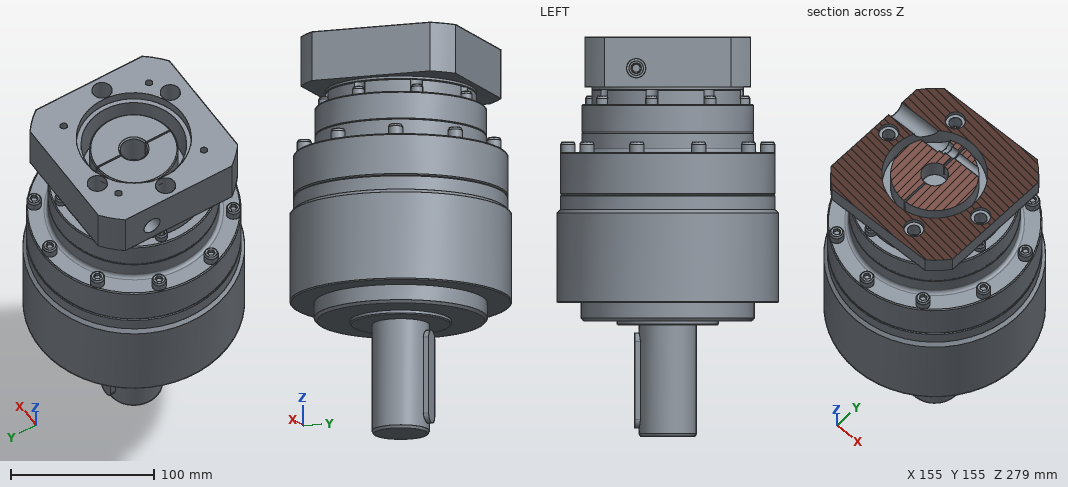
import cadquery as cq
import math


SHAFT_DISC_Z = 77.8
BOSS_BOTTOM_Z = 80.5
HOUSING_BOTTOM_Z = 93.5
HOUSING_SHOULDER_Z = 158.5
COVER_BOTTOM_Z = 168.8
COVER_TOP_Z = 198.5
FLANGE_BOTTOM_Z = 212.5
FLANGE_TOP_Z = 231.8
NECK_TOP_Z = 242.5
PLATE_BOTTOM_Z = 244.0
TOP_Z = 279.0

HOUSING_R = 77.5
COVER_R = 75.0
BOSS_R = 60.5
FLANGE_R = 60.0
NECK_R = 53.0
SHAFT_DISC_R = 35.5
SHAFT_R = 20.0

EDGE_BREAK = 0.8
SHOULDER_CHAMFER = HOUSING_R - COVER_R
BOSS_CHAMFER = 2.0
COVER_FILLET = 2.8
SHAFT_END_CHAMFER_LENGTH = 2.0
SHAFT_END_CHAMFER_DEPTH = 1.0

KEY_WIDTH = 12.0
KEY_BOTTOM_Z = 5.9
KEY_TOP_Z = 72.3
KEY_SEAT_Y = 15.0
KEY_CREST_Y = 23.2

HEAD_CHAMFER_HEIGHT = 1.7
HEAD_CHAMFER_DEPTH = 0.8
COVER_SCREW_COUNT = 10
COVER_SCREW_CIRCLE_R = 69.8
COVER_SCREW_START = 90
COVER_HEAD_R = 5.0
COVER_HEAD_HEIGHT = 7.3
COVER_SOCKET_WIDTH = 4.7
FLANGE_SCREW_COUNT = 8
FLANGE_SCREW_CIRCLE_R = 54.5
FLANGE_SCREW_START = -12
FLANGE_HEAD_R = 4.2
FLANGE_HEAD_HEIGHT = 5.9
FLANGE_SOCKET_WIDTH = 4.0
SOCKET_DEPTH = 2.8
SOCKET_SIDES = 6
NOTCH_R = 4.5

PLATE_WIDTH = 115.8
PLATE_CORNER_R = 72.8
PILOT_R = 40.2
PILOT_DEPTH = 7.0
PLATE_BORE_R = 36.8
MOTOR_HOLE_OFFSET = 35.5
MOTOR_HOLE_R = 2.5
MOTOR_HOLE_DEPTH = 14.0
PLATE_SCREW_CIRCLE_R = 47.7
PLATE_SCREW_ANGLES = (-5, 115, 175, 295)
COUNTERBORE_R = 7.0
COUNTERBORE_DEPTH = 25.0
CLEARANCE_HOLE_R = 4.5
THREAD_HOLE_R = 3.0
THREAD_HOLE_DEPTH = 11.2
DRILL_TIP_ANGLE = 118

HUB_R = 31.0
HUB_TOP_Z = TOP_Z - 12.3
HUB_BORE_R = 9.5
HUB_BORE_CHAMFER = 1.0
SLIT_WIDTH = 1.0
SLIT_FLOOR = 4.2
CLAMP_Y = 22.0
CLAMP_Z = TOP_Z - 21.8
ACCESS_HOLE_R = 6.7
CLAMP_FLAT_X = -11.2
CLAMP_SEAT_X = -7.0
CLAMP_COUNTERBORE_R = 5.0
CLAMP_CLEARANCE_R = 3.5
CLAMP_THREAD_R = 2.8


def turned(profile):
    """Revolve a closed (radius, z) outline about the Z axis."""
    return cq.Workplane("XZ").polyline(profile).close().revolve(360, (0, 0, 0), (0, 1, 0))


def polar_points(radius, angles):
    return [(radius * math.cos(math.radians(a)), radius * math.sin(math.radians(a))) for a in angles]


def even_angles(count, start):
    return [start + 360 * i / count for i in range(count)]


def cylinder(radius, bottom, top):
    return cq.Workplane("XY").workplane(offset=bottom).circle(radius).extrude(top - bottom)


def pointed_hole(radius, depth, top):
    """Cutter for a blind drilled hole with a conical end, opening upwards at `top`."""
    tip = radius / math.tan(math.radians(DRILL_TIP_ANGLE / 2))
    return turned([(0, top), (radius, top), (radius, top - depth), (0, top - depth - tip)])


def at_points(tool, points):
    """One workplane holding a copy of `tool` at each XY point."""
    copies = [tool.val().moved(cq.Location(cq.Vector(x, y, 0))) for x, y in points]
    return cq.Workplane("XY").newObject(copies)


def drilled(body, tool, points):
    for cutter in at_points(tool, points).vals():
        body = body.cut(cq.Workplane(cutter))
    return body


def screw_head(radius, height, socket_width, seat):
    """Socket screw head with a chamfered rim and a hexagon socket, standing on z = seat."""
    top = seat + height
    head = turned([
        (0, seat),
        (radius, seat),
        (radius, top - HEAD_CHAMFER_HEIGHT),
        (radius - HEAD_CHAMFER_DEPTH, top),
        (0, top),
    ])
    corner_diameter = socket_width / math.cos(math.pi / SOCKET_SIDES)
    floor = cq.Workplane("XY").workplane(offset=top - SOCKET_DEPTH)
    socket = floor.polygon(SOCKET_SIDES, corner_diameter).extrude(SOCKET_DEPTH)
    return head.cut(socket)


def with_heads(body, head, points):
    for copy in at_points(head, points).vals():
        body = body.union(cq.Workplane(copy))
    return body


def make_key():
    length = KEY_TOP_Z - KEY_BOTTOM_Z
    return (
        cq.Workplane("XZ", origin=(0, KEY_SEAT_Y, (KEY_TOP_Z + KEY_BOTTOM_Z) / 2))
        .slot2D(length, KEY_WIDTH, 90)
        .extrude(KEY_SEAT_Y - KEY_CREST_Y)
    )


def make_shaft(key):
    shaft = turned([
        (0, 0),
        (SHAFT_R - SHAFT_END_CHAMFER_DEPTH, 0),
        (SHAFT_R, SHAFT_END_CHAMFER_LENGTH),
        (SHAFT_R, SHAFT_DISC_Z),
        (SHAFT_DISC_R - EDGE_BREAK, SHAFT_DISC_Z),
        (SHAFT_DISC_R, SHAFT_DISC_Z + EDGE_BREAK),
        (SHAFT_DISC_R, BOSS_BOTTOM_Z),
        (0, BOSS_BOTTOM_Z),
    ])
    return shaft.cut(key)


def make_housing():
    return turned([
        (0, BOSS_BOTTOM_Z),
        (BOSS_R - BOSS_CHAMFER, BOSS_BOTTOM_Z),
        (BOSS_R, BOSS_BOTTOM_Z + BOSS_CHAMFER),
        (BOSS_R, HOUSING_BOTTOM_Z),
        (HOUSING_R - EDGE_BREAK, HOUSING_BOTTOM_Z),
        (HOUSING_R, HOUSING_BOTTOM_Z + EDGE_BREAK),
        (HOUSING_R, HOUSING_SHOULDER_Z - SHOULDER_CHAMFER),
        (COVER_R, HOUSING_SHOULDER_Z),
        (COVER_R, COVER_BOTTOM_Z - EDGE_BREAK),
        (COVER_R - EDGE_BREAK, COVER_BOTTOM_Z),
        (0, COVER_BOTTOM_Z),
    ])


def make_cover():
    profile = (
        cq.Workplane("XZ")
        .moveTo(0, COVER_BOTTOM_Z)
        .lineTo(COVER_R - EDGE_BREAK, COVER_BOTTOM_Z)
        .lineTo(COVER_R, COVER_BOTTOM_Z + EDGE_BREAK)
        .lineTo(COVER_R, COVER_TOP_Z - EDGE_BREAK)
        .lineTo(COVER_R - EDGE_BREAK, COVER_TOP_Z)
        .lineTo(FLANGE_R + COVER_FILLET, COVER_TOP_Z)
        .radiusArc((FLANGE_R, COVER_TOP_Z + COVER_FILLET), COVER_FILLET)
        .lineTo(FLANGE_R, FLANGE_BOTTOM_Z - EDGE_BREAK)
        .lineTo(FLANGE_R - EDGE_BREAK, FLANGE_BOTTOM_Z)
        .lineTo(0, FLANGE_BOTTOM_Z)
        .close()
    )
    cover = profile.revolve(360, (0, 0, 0), (0, 1, 0))
    head = screw_head(COVER_HEAD_R, COVER_HEAD_HEIGHT, COVER_SOCKET_WIDTH, COVER_TOP_Z)
    angles = even_angles(COVER_SCREW_COUNT, COVER_SCREW_START)
    return with_heads(cover, head, polar_points(COVER_SCREW_CIRCLE_R, angles))


def make_input_flange():
    flange = turned([
        (0, FLANGE_BOTTOM_Z),
        (FLANGE_R, FLANGE_BOTTOM_Z),
        (FLANGE_R, FLANGE_TOP_Z - EDGE_BREAK),
        (FLANGE_R - EDGE_BREAK, FLANGE_TOP_Z),
        (NECK_R, FLANGE_TOP_Z),
        (NECK_R, NECK_TOP_Z - EDGE_BREAK),
        (NECK_R - EDGE_BREAK, NECK_TOP_Z),
        (0, NECK_TOP_Z),
    ])
    screw_points = polar_points(FLANGE_SCREW_CIRCLE_R, even_angles(FLANGE_SCREW_COUNT, FLANGE_SCREW_START))
    flange = drilled(flange, cylinder(NOTCH_R, FLANGE_TOP_Z, NECK_TOP_Z), screw_points)
    head = screw_head(FLANGE_HEAD_R, FLANGE_HEAD_HEIGHT, FLANGE_SOCKET_WIDTH, FLANGE_TOP_Z)
    flange = with_heads(flange, head, screw_points)
    thread_hole = pointed_hole(THREAD_HOLE_R, THREAD_HOLE_DEPTH, NECK_TOP_Z)
    return drilled(flange, thread_hole, polar_points(PLATE_SCREW_CIRCLE_R, PLATE_SCREW_ANGLES))


def make_motor_plate():
    block = cq.Workplane("XY").workplane(offset=PLATE_BOTTOM_Z).rect(PLATE_WIDTH, PLATE_WIDTH)
    plate = block.extrude(TOP_Z - PLATE_BOTTOM_Z).intersect(cylinder(PLATE_CORNER_R, PLATE_BOTTOM_Z, TOP_Z))
    plate = plate.union(cylinder(NECK_R, NECK_TOP_Z, PLATE_BOTTOM_Z))
    plate = plate.cut(cylinder(PLATE_BORE_R, NECK_TOP_Z, TOP_Z))
    plate = plate.cut(cylinder(PILOT_R, TOP_Z - PILOT_DEPTH, TOP_Z))

    screw_hole = cylinder(CLEARANCE_HOLE_R, NECK_TOP_Z, TOP_Z)
    screw_hole = screw_hole.union(cylinder(COUNTERBORE_R, TOP_Z - COUNTERBORE_DEPTH, TOP_Z))
    plate = drilled(plate, screw_hole, polar_points(PLATE_SCREW_CIRCLE_R, PLATE_SCREW_ANGLES))

    offsets = (-MOTOR_HOLE_OFFSET, MOTOR_HOLE_OFFSET)
    motor_points = [(x, y) for x in offsets for y in offsets]
    plate = drilled(plate, pointed_hole(MOTOR_HOLE_R, MOTOR_HOLE_DEPTH, TOP_Z), motor_points)

    return plate.cut(clamp_bore(ACCESS_HOLE_R, -PLATE_WIDTH / 2, 0))


def clamp_bore(radius, start_x, end_x):
    """Cutter along X on the axis of the clamp screw."""
    start = cq.Workplane("YZ", origin=(start_x, CLAMP_Y, CLAMP_Z))
    return start.circle(radius).extrude(end_x - start_x)


def make_clamp_hub():
    hub = turned([
        (HUB_BORE_R, NECK_TOP_Z),
        (HUB_R, NECK_TOP_Z),
        (HUB_R, HUB_TOP_Z - EDGE_BREAK),
        (HUB_R - EDGE_BREAK, HUB_TOP_Z),
        (HUB_BORE_R + HUB_BORE_CHAMFER, HUB_TOP_Z),
        (HUB_BORE_R, HUB_TOP_Z - HUB_BORE_CHAMFER),
    ])
    slit_bottom = NECK_TOP_Z + SLIT_FLOOR
    slit = cq.Workplane("XY").workplane(offset=slit_bottom).rect(SLIT_WIDTH, 2 * HUB_R)
    hub = hub.cut(slit.extrude(HUB_TOP_Z - slit_bottom))

    hub = hub.cut(clamp_bore(ACCESS_HOLE_R, -HUB_R, CLAMP_FLAT_X))
    hub = hub.cut(clamp_bore(CLAMP_COUNTERBORE_R, CLAMP_FLAT_X, CLAMP_SEAT_X))
    hub = hub.cut(clamp_bore(CLAMP_CLEARANCE_R, CLAMP_SEAT_X, 0))
    return hub.cut(clamp_bore(CLAMP_THREAD_R, 0, HUB_R))


key = make_key()
shaft = make_shaft(key)
housing = make_housing()
cover = make_cover()
input_flange = make_input_flange()
motor_plate = make_motor_plate()
clamp_hub = make_clamp_hub()

result = cq.Compound.makeCompound([
    key.val(),
    shaft.val(),
    housing.val(),
    cover.val(),
    input_flange.val(),
    motor_plate.val(),
    clamp_hub.val(),
])